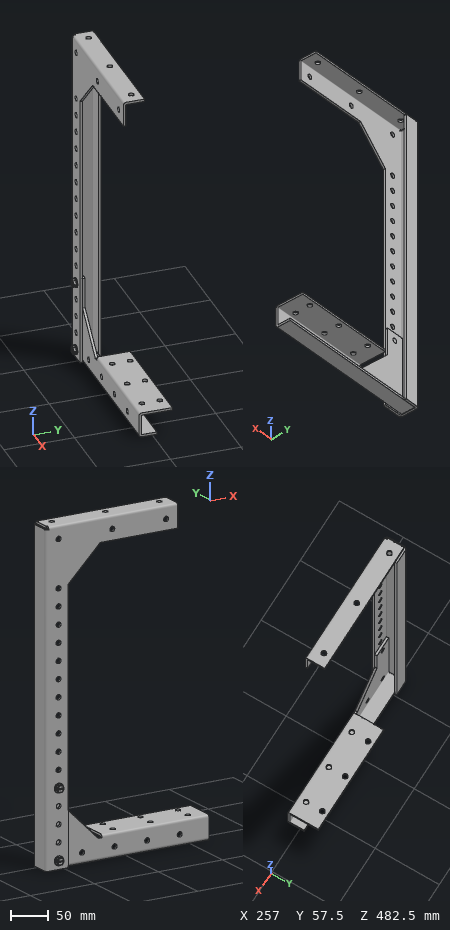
import cadquery as cq
import math


sheet = 3.75
bend = 4.6
bend_gap = 0.1
hole_diameter = 7.0
height = 482.5
overall_length = 257.0

column_width = 34.7
column_depth = 33.5
lip_width = 26.0
column_hole_x = 20.0
column_hole_pitch = 482.5 / 19
column_hole_count = 16
first_hole_z = column_hole_pitch / 2

arm_length = 206.0
arm_plate_height = 35.5
flange_start = 2.65
flange_back = 30.5
arm_hole_x = 20.0
arm_hole_pitch = 84.0
arm_hole_count = 3
arm_hole_drop = 20.0
flange_hole_y = 18.0
gusset = 50.0

lower_height = 36.5
shelf_start = 90.0
shelf_back = 51.5
bottom_back = column_depth - sheet - bend_gap
leg_left = bend
plate_hole_x = 59.0
plate_hole_z = 16.5
plate_hole_pitch = 2 * column_hole_pitch
plate_hole_count = 4
shelf_hole_inset = 25.0
shelf_hole_columns = 3
shelf_rear_hole_y = 42.5
shelf_front_hole_y = shelf_rear_hole_y - column_hole_pitch

screw_rows = (0, 4)
washer_diameter = 13.5
washer_thickness = 1.5
hex_flats = 9.5
hex_height = 4.5
slot_width = 1.5
slot_depth = 1.5
hex_chamfer = 0.5


def block(x0, x1, y0, y1, z0, z1):
    """Axis-aligned box between two corners."""
    return cq.Workplane("XY").box(x1 - x0, y1 - y0, z1 - z0, centered=False).translate((x0, y0, z0))


def folded_sheet(outer, inner, folded_edges):
    """Bent sheet: the outer box less the inner box, both rounded along the folded edges."""
    outside = block(*outer).edges(folded_edges).fillet(bend)
    inside = block(*inner).edges(folded_edges).fillet(bend - sheet)
    return outside.cut(inside)


def plate(points, y_front):
    """Flat sheet with an XZ outline whose front face lies at y_front."""
    return cq.Workplane("XZ", origin=(0, y_front, 0)).polyline(points).close().extrude(-sheet)


def holes_along_y(points):
    """Drills that pass through the front plates only."""
    return (
        cq.Workplane("XZ")
        .pushPoints(points)
        .circle(hole_diameter / 2)
        .extrude(-column_depth / 2)
    )


def holes_along_z(points, z_top):
    """Drills that pass through a single flange whose upper face lies at z_top."""
    return (
        cq.Workplane("XY", origin=(0, 0, z_top))
        .pushPoints(points)
        .circle(hole_diameter / 2)
        .extrude(-2 * sheet)
    )


def column_hole_z(row):
    return first_hole_z + row * column_hole_pitch


def make_upper_bracket():
    web_top = height - sheet - bend_gap
    column = folded_sheet(
        (0, column_width, 0, column_depth, 0, web_top),
        (sheet, column_width + bend, sheet, column_depth - sheet, 0, web_top),
        "|Z and <X",
    )
    column = column.cut(
        block(lip_width, column_width, column_depth - sheet, column_depth, 0, height)
    )
    column = column.cut(block(0, column_width, 0, bend, height - bend, height))

    arm_bottom = height - arm_plate_height
    arm = folded_sheet(
        (flange_start, arm_length, 0, flange_back, arm_bottom, height),
        (flange_start, arm_length, sheet, flange_back + bend, arm_bottom - bend, height - sheet),
        "|X and <Y and >Z",
    )
    arm = arm.cut(block(0, bend, 0, bend, arm_bottom, height))

    gusset_plate = plate(
        [
            (bend, height - bend),
            (bend, arm_bottom - gusset),
            (column_width, arm_bottom - gusset),
            (column_width + gusset, arm_bottom),
            (column_width + gusset, height - bend),
        ],
        0,
    )

    arm_holes_x = [arm_hole_x + i * arm_hole_pitch for i in range(arm_hole_count)]
    front_holes = [(column_hole_x, column_hole_z(i)) for i in range(column_hole_count)]
    front_holes += [(x, height - arm_hole_drop) for x in arm_holes_x]
    flange_holes = [(x, flange_hole_y) for x in arm_holes_x]
    return (
        column.union(arm)
        .union(gusset_plate)
        .cut(holes_along_y(front_holes))
        .cut(holes_along_z(flange_holes, height))
    )


def make_lower_bracket():
    front = sheet
    channel = folded_sheet(
        (leg_left, overall_length, front, shelf_back, 0, lower_height),
        (leg_left, overall_length, front + sheet, shelf_back + bend, sheet, lower_height - sheet),
        "|X and <Y",
    )
    plate_top = lower_height - bend
    channel = channel.cut(
        block(leg_left, overall_length, bottom_back, shelf_back, 0, sheet)
    )
    channel = channel.cut(
        block(leg_left, shelf_start, front, shelf_back, plate_top, lower_height)
    )

    leg_top = column_hole_z(screw_rows[-1]) + column_hole_pitch / 2
    leg = plate(
        [
            (leg_left, bend),
            (leg_left, leg_top),
            (column_width, leg_top),
            (column_width, plate_top + gusset),
            (column_width + gusset, plate_top),
            (column_width + gusset, bend),
        ],
        front,
    )

    front_holes = [(column_hole_x, column_hole_z(row)) for row in screw_rows]
    front_holes += [
        (plate_hole_x + i * plate_hole_pitch, plate_hole_z) for i in range(plate_hole_count)
    ]
    shelf_pitch = (overall_length - shelf_start - 2 * shelf_hole_inset) / (shelf_hole_columns - 1)
    shelf_holes = [
        (shelf_start + shelf_hole_inset + i * shelf_pitch, y)
        for i in range(shelf_hole_columns)
        for y in (shelf_front_hole_y, shelf_rear_hole_y)
    ]
    return (
        channel.union(leg)
        .cut(holes_along_y(front_holes))
        .cut(holes_along_z(shelf_holes, lower_height))
    )


def make_washer(z):
    """Plain washer on the front face of the column."""
    return (
        cq.Workplane("XZ")
        .center(column_hole_x, z)
        .circle(washer_diameter / 2)
        .circle(hole_diameter / 2)
        .extrude(washer_thickness)
    )


def make_screw(z):
    """Slotted hex screw through the washer and both plates, ending flush behind them."""
    head_top = washer_thickness + hex_height
    hex_corners = hex_flats / math.cos(math.pi / 6)
    head = (
        cq.Workplane("XZ", origin=(column_hole_x, -washer_thickness, z))
        .polygon(6, hex_corners)
        .extrude(hex_height)
        .faces("<Y")
        .chamfer(hex_chamfer)
    )
    slot = block(
        column_hole_x - hex_corners, column_hole_x + hex_corners,
        -head_top, slot_depth - head_top,
        z - slot_width / 2, z + slot_width / 2,
    )
    shank = (
        cq.Workplane("XZ", origin=(column_hole_x, -washer_thickness, z))
        .circle(hole_diameter / 2)
        .extrude(-(washer_thickness + 2 * sheet))
    )
    return head.cut(slot).union(shank)


upper_bracket = make_upper_bracket()
lower_bracket = make_lower_bracket()
washers = [make_washer(column_hole_z(row)) for row in screw_rows]
screws = [make_screw(column_hole_z(row)) for row in screw_rows]

result = cq.Compound.makeCompound([
    upper_bracket.val(),
    lower_bracket.val(),
    *[washer.val() for washer in washers],
    *[screw.val() for screw in screws],
])